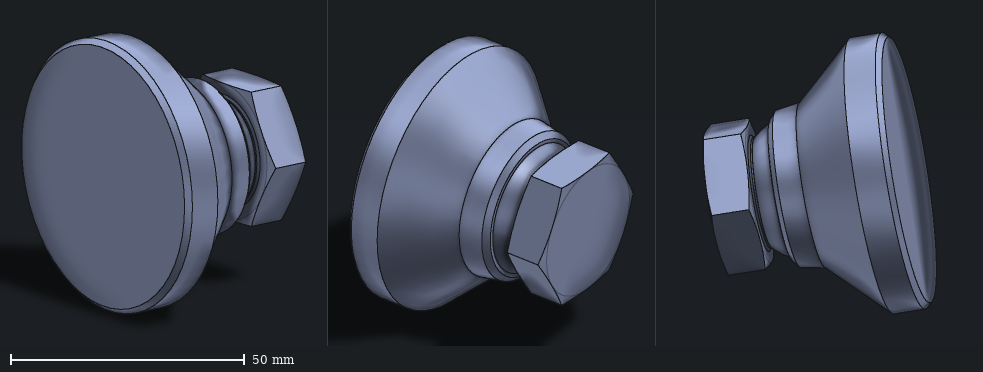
import cadquery as cq
import math

foot_radius = 30.0
sole_chamfer = 1.2
rim_top = 8.05
cone_top = 21.0
cone_top_radius = 18.0
collar_shoulder = 26.35
collar_shoulder_radius = 17.1
collar_top = 27.6
collar_top_radius = 15.7

ball_start_radius = 14.8
ball_end_radius = 12.1
ball_top = 31.8
ball_bulge = 0.3

neck_radius = 12.0
neck_flare_start = 32.2
neck_flare_radius = 12.6
nut_bottom = 32.65
nut_top = 42.0
nut_width = 30.0
nut_face_radius = 15.0
nut_chamfer_angle = 15.0


def make_foot():
    """Revolve the foot, ball and neck as one profile; sketch Y is the part's Y."""
    ball_middle = ((ball_start_radius + ball_end_radius) / 2 + ball_bulge, (collar_top + ball_top) / 2)
    return (
        cq.Workplane("XY")
        .lineTo(foot_radius - sole_chamfer, 0)
        .lineTo(foot_radius, sole_chamfer)
        .lineTo(foot_radius, rim_top)
        .lineTo(cone_top_radius, cone_top)
        .lineTo(collar_shoulder_radius, collar_shoulder)
        .lineTo(collar_top_radius, collar_top)
        .lineTo(ball_start_radius, collar_top)
        .threePointArc(ball_middle, (ball_end_radius, ball_top))
        .lineTo(neck_radius, ball_top)
        .lineTo(neck_radius, neck_flare_start)
        .lineTo(neck_flare_radius, nut_bottom)
        .lineTo(0, nut_bottom)
        .close()
        .revolve(360, (0, 0), (0, 1))
    )


def make_nut():
    """Hexagonal prism whose corners are trimmed by a cone at each end."""
    corner_radius = nut_width / math.sqrt(3)
    chamfer_height = (corner_radius - nut_face_radius) * math.tan(math.radians(nut_chamfer_angle))
    prism = (
        cq.Workplane("XZ", origin=(0, nut_bottom, 0))
        .polygon(6, 2 * corner_radius)
        .extrude(nut_bottom - nut_top)
    )
    trimmer = (
        cq.Workplane("XY")
        .moveTo(0, nut_bottom)
        .lineTo(nut_face_radius, nut_bottom)
        .lineTo(corner_radius, nut_bottom + chamfer_height)
        .lineTo(corner_radius, nut_top - chamfer_height)
        .lineTo(nut_face_radius, nut_top)
        .lineTo(0, nut_top)
        .close()
        .revolve(360, (0, 0), (0, 1))
    )
    return prism.intersect(trimmer)


result = make_foot().union(make_nut())